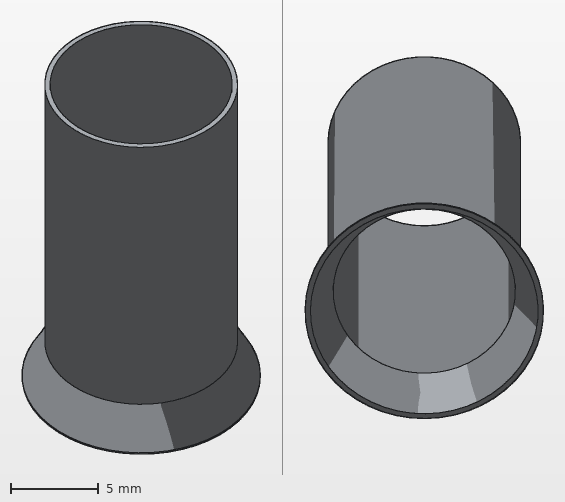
import cadquery as cq

height = 22.0
tube_radius = 5.5
flare_radius = 6.8
wall = 0.3

flare_height = 2.65
rim_height = 0.1

bore_radius = tube_radius - wall
mouth_radius = flare_radius - wall

profile = (
    cq.Workplane("XZ")
    .moveTo(mouth_radius, 0)
    .lineTo(flare_radius, 0)
    .lineTo(flare_radius, rim_height)
    .lineTo(tube_radius, flare_height)
    .lineTo(tube_radius, height)
    .lineTo(bore_radius, height)
    .lineTo(bore_radius, flare_height)
    .close()
)

result = profile.revolve(360, (0, 0, 0), (0, 1, 0))